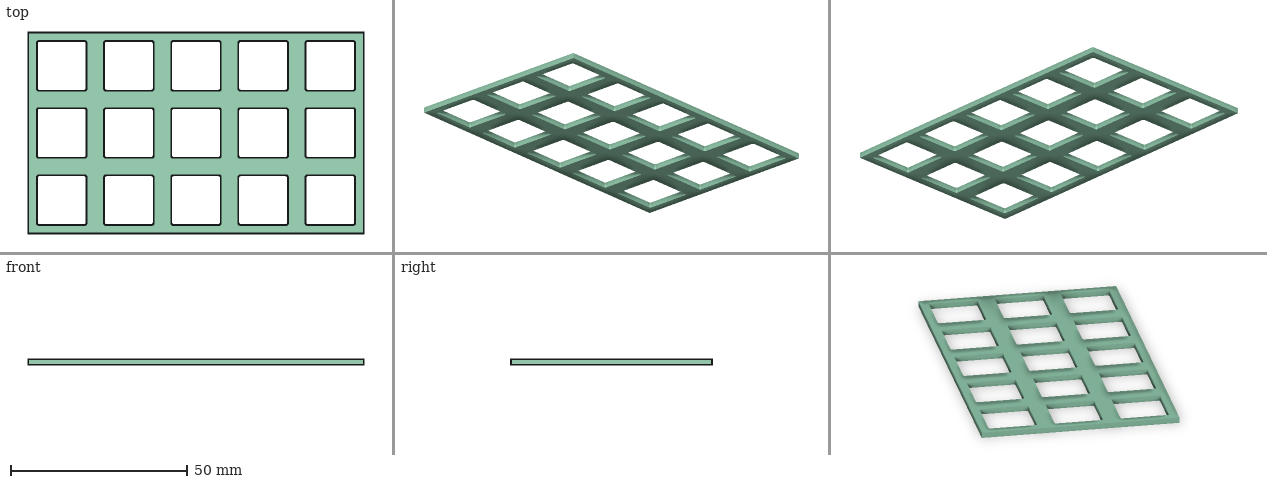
import cadquery as cq

columns = 5
rows = 3
key_pitch = 19.05
cutout_size = 14.0
cutout_corner_radius = 0.5

plate_length = columns * key_pitch
plate_width = rows * key_pitch
plate_thickness = 1.6


def make_plate():
    """Flat rectangular plate centred on the Z axis, resting on Z = 0."""
    return cq.Workplane("XY").box(
        plate_length, plate_width, plate_thickness, centered=(True, True, False)
    )


def make_cutouts():
    """Grid of square through cutouts with rounded vertical corners."""
    return (
        cq.Workplane("XY")
        .rarray(key_pitch, key_pitch, columns, rows)
        .rect(cutout_size, cutout_size)
        .extrude(plate_thickness)
        .edges("|Z")
        .fillet(cutout_corner_radius)
    )


result = make_plate().cut(make_cutouts())